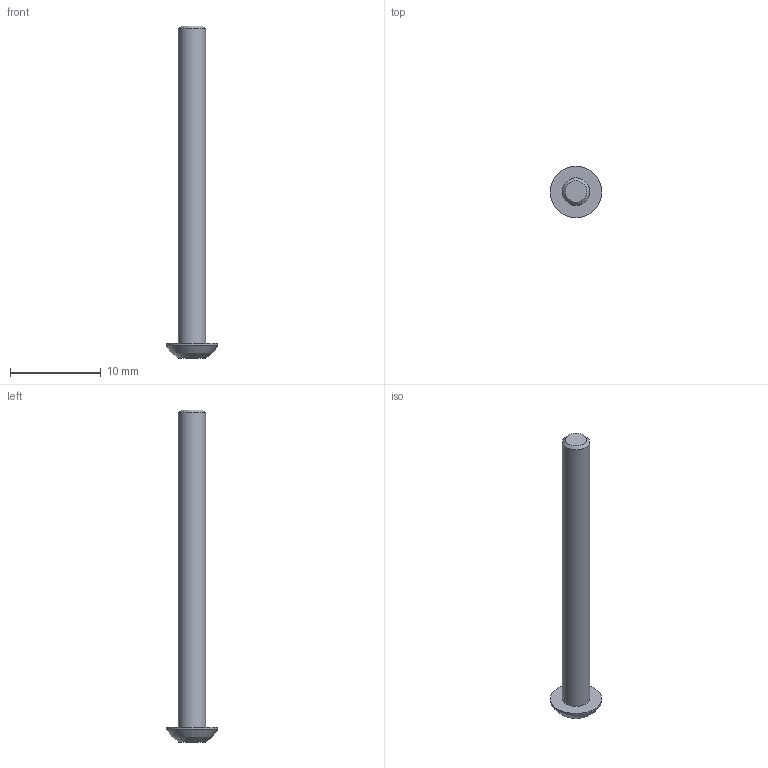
import cadquery as cq
import math

shank_diameter = 3.0
shank_length = 35.0
tip_chamfer = 0.3

head_diameter = 5.7
head_height = 1.65
head_rim_height = 0.24
head_flat_diameter = 3.0
dome_bulge = 0.16

shank_radius = shank_diameter / 2
head_radius = head_diameter / 2
head_flat_radius = head_flat_diameter / 2


def make_head():
    """Domed head revolved about Z, with its bearing face on the plane z = 0."""
    rise = head_height - head_rim_height
    run = head_radius - head_flat_radius
    chord = math.hypot(run, rise)
    dome_middle = (
        (head_radius + head_flat_radius) / 2 + dome_bulge * rise / chord,
        -(head_height + head_rim_height) / 2 - dome_bulge * run / chord,
    )
    profile = (
        cq.Workplane("XZ")
        .moveTo(0, 0)
        .lineTo(head_radius, 0)
        .lineTo(head_radius, -head_rim_height)
        .threePointArc(dome_middle, (head_flat_radius, -head_height))
        .lineTo(0, -head_height)
        .close()
    )
    return profile.revolve(360, (0, 0), (0, 1))


def make_shank():
    """Plain cylindrical shank with a chamfered tip."""
    shank = cq.Workplane("XY").circle(shank_radius).extrude(shank_length)
    return shank.faces(">Z").edges().chamfer(tip_chamfer)


result = make_head().union(make_shank())